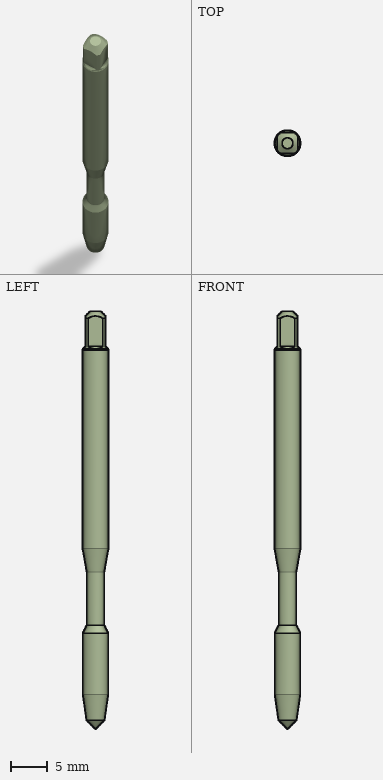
import cadquery as cq

total_length = 57.05

head_diameter = 3.55
point_diameter = 2.5
point_height = point_diameter / 2
lead_end = 4.8
head_top = 13.1
head_end = 14.2

shank_diameter = 3.6
neck_diameter = 2.45
neck_end = 21.5
shank_start = 24.7
shank_end = 51.9
shank_edge_height = 0.15

square_width = 2.8
square_corner_diameter = 3.4
square_chamfer = 0.95
runout_depth = (square_corner_diameter - square_width) / 2
flat_start = shank_end + runout_depth


def revolved(profile):
    """Turn a closed outline of (radius, height) points about the Z axis."""
    return cq.Workplane("XZ").polyline(profile).close().revolve(360, (0, 0), (0, 1))


def make_cutting_head():
    """Pointed head with a tapered lead and a short taper back to the neck."""
    return revolved([
        (0, 0),
        (point_diameter / 2, point_height),
        (head_diameter / 2, lead_end),
        (head_diameter / 2, head_top),
        (neck_diameter / 2, head_end),
        (0, head_end),
    ])


def make_driving_square():
    """Round-cornered square with a conical top chamfer and sloped run-outs below its flats."""
    square_length = total_length - shank_end
    round_end = (
        cq.Workplane("XY", origin=(0, 0, shank_end))
        .circle(square_corner_diameter / 2)
        .extrude(square_length)
        .faces(">Z")
        .chamfer(square_chamfer)
    )
    flats = (
        cq.Workplane("XY", origin=(0, 0, flat_start))
        .rect(square_width, square_width)
        .extrude(total_length - flat_start)
    )
    base_width = square_width + 2 * runout_depth
    runout = (
        cq.Workplane("XY", origin=(0, 0, shank_end))
        .rect(base_width, base_width)
        .workplane(offset=runout_depth)
        .rect(square_width, square_width)
        .loft(ruled=True)
    )
    return round_end.intersect(flats.union(runout))


def make_shank():
    """Neck, taper and cylindrical shank ending in the driving square."""
    turned = revolved([
        (0, head_end),
        (neck_diameter / 2, head_end),
        (neck_diameter / 2, neck_end),
        (shank_diameter / 2, shank_start),
        (shank_diameter / 2, shank_end - shank_edge_height),
        (square_corner_diameter / 2, shank_end),
        (0, shank_end),
    ])
    return turned.union(make_driving_square())


cutting_head = make_cutting_head()
shank = make_shank()

result = cq.Compound.makeCompound([cutting_head.val(), shank.val()])